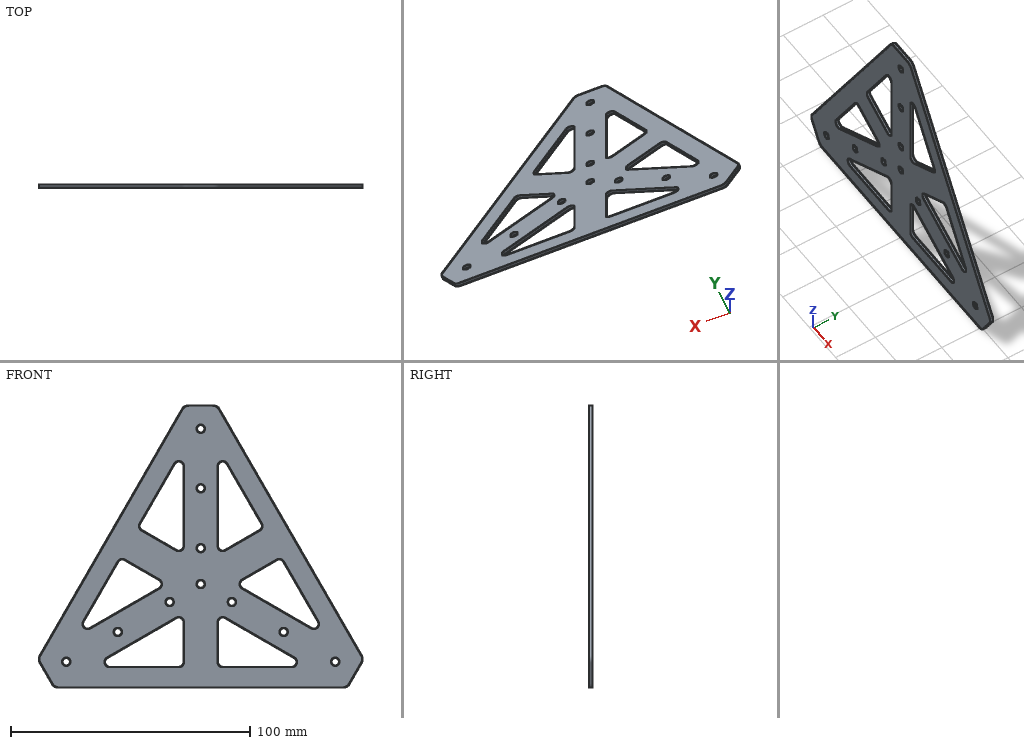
import cadquery as cq
import math

thickness = 1.5
side_distance = 43.3
tip_distance = 74.7
outer_radius = 3.0

arm_half_width = 7.2
window_side_distance = 34.6
window_radius = 2.0

hole_diameter = 3.2
arm_hole_distances = (15.0, 40.0, 65.0)

arm_angles = (90, 210, 330)
cos30 = math.cos(math.radians(30))
tan30 = math.tan(math.radians(30))


def extrude_plate(sketch):
    """Extrude an XZ sketch through the plate, centred on Y = 0."""
    return sketch.extrude(thickness / 2, both=True)


def plate_outline():
    """Hexagonal blank: a triangle with its three tips cut square."""
    tip_half_width = (2 * side_distance - tip_distance) * tan30
    corner_radius = math.hypot(tip_distance, tip_half_width)
    half_angle = math.degrees(math.atan2(tip_half_width, tip_distance))
    points = []
    for arm_angle in arm_angles:
        for angle in (arm_angle - half_angle, arm_angle + half_angle):
            turn = math.radians(angle)
            points.append((corner_radius * math.cos(turn), corner_radius * math.sin(turn)))
    blank = extrude_plate(cq.Workplane("XZ").polyline(points).close())
    return blank.edges("|Y").fillet(outer_radius)


def window():
    """Triangular opening between the lower right arm and the mid-line web."""
    arm_edge_drop = arm_half_width / cos30
    inner_z = -(arm_half_width * tan30 + arm_edge_drop)
    far_x = (window_side_distance - arm_edge_drop) / tan30
    points = [
        (arm_half_width, inner_z),
        (arm_half_width, -window_side_distance),
        (far_x, -window_side_distance),
    ]
    opening = extrude_plate(cq.Workplane("XZ").polyline(points).close())
    return opening.edges("|Y").fillet(window_radius)


def hole_positions():
    positions = [(0, 0)]
    for arm_angle in arm_angles:
        turn = math.radians(arm_angle)
        for distance in arm_hole_distances:
            positions.append((distance * math.cos(turn), distance * math.sin(turn)))
    return positions


result = plate_outline()

right_window = window()
for opening in (right_window, right_window.mirror("YZ")):
    for turn in (0, 120, 240):
        result = result.cut(opening.rotate((0, 0, 0), (0, 1, 0), turn))

holes = extrude_plate(cq.Workplane("XZ").pushPoints(hole_positions()).circle(hole_diameter / 2))
result = result.cut(holes)